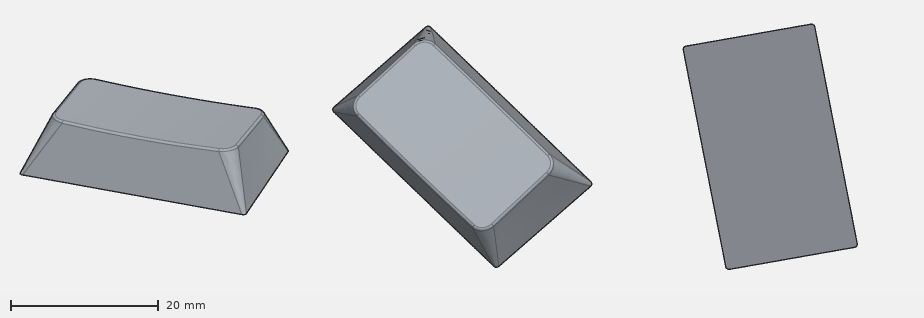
import cadquery as cq
import math

base_length = 32.4
base_width = 18.1
base_corner_radius = 0.5

top_length = 26.25
top_width = 14.38
top_corner_radius = 2.2
top_center_y = 1.72
top_center_z = 6.87
top_tilt = 6.1

dish_edge_depth = 0.13
dish_sag = 0.4
dish_radius = (top_length / 2) ** 2 / (2 * dish_sag) + dish_sag / 2
dish_length = 2 * base_width

rim_fillet = 0.42


def rounded_rectangle(length, width, radius):
    return cq.Sketch().rect(length, width).vertices().fillet(radius)


def top_plane():
    tilt = math.radians(top_tilt)
    return cq.Plane(
        origin=(0, top_center_y, top_center_z),
        xDir=(1, 0, 0),
        normal=(0, math.sin(tilt), math.cos(tilt)),
    )


def tapered_body():
    base = rounded_rectangle(base_length, base_width, base_corner_radius)
    top = rounded_rectangle(top_length, top_width, top_corner_radius)
    top_location = cq.Location(top_plane())
    return cq.Workplane("XY").placeSketch(base, top.moved(top_location)).loft(ruled=True)


def dish_cutter():
    axis_height = dish_radius - dish_edge_depth - dish_sag
    cylinder = cq.Workplane("XZ").circle(dish_radius).extrude(dish_length / 2, both=True)
    placement = cq.Location(top_plane()) * cq.Location((0, 0, axis_height))
    return cq.Workplane(cylinder.val().moved(placement))


dished_body = tapered_body().cut(dish_cutter())
dish_rim = dished_body.faces(">Z").edges()
result = dish_rim.fillet(rim_fillet)